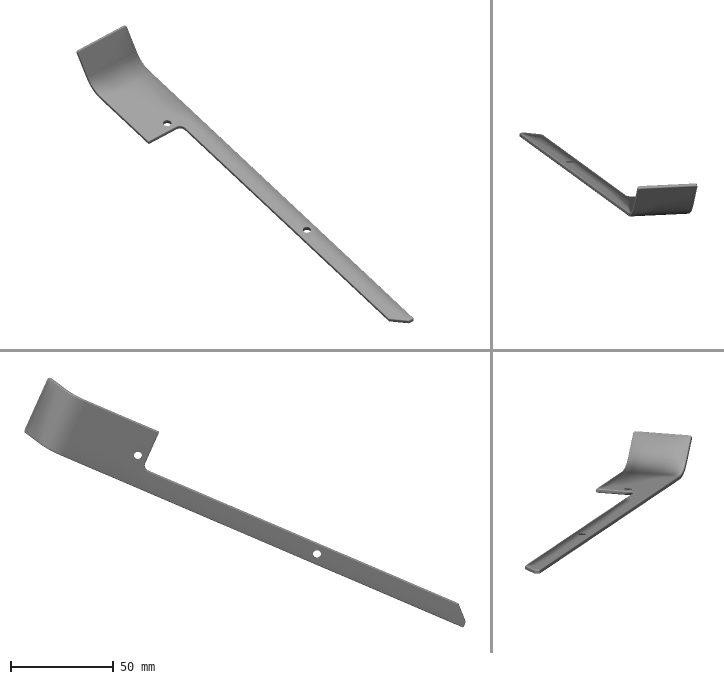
import cadquery as cq
import math

total_length = 234.69
total_width = 30.0
total_height = 18.22
thickness = 2.0

lip_angle = 53.0
bend_inner_radius = 12.0
bend_outer_radius = bend_inner_radius + thickness
lip_corner_radius = 1.0

arm_length = 175.5
arm_width = 10.0
inside_corner_radius = 3.0
tip_bevel = 7.0

hole_diameter = 4.0
hole_edge_distance = 4.8
hole_spacing = 100.0

edge_radius = 0.5

step_x = total_length - arm_length
arm_y = total_width - arm_width
pad_hole_x = step_x - hole_edge_distance
lip_sin = math.sin(math.radians(lip_angle))
lip_cos = math.cos(math.radians(lip_angle))

rounding_setback = edge_radius * (lip_sin + lip_cos - 1)
lip_rise = total_height + rounding_setback - thickness * lip_cos - bend_outer_radius * (1 - lip_cos)
lip_length = lip_rise / lip_sin
bend_x = lip_length * lip_cos + bend_outer_radius * lip_sin - rounding_setback


def bend_point(radius, angle):
    """Point on the bend, at an angle measured from its lowest point towards -X."""
    turn = math.radians(angle)
    return (bend_x - radius * math.sin(turn), bend_outer_radius - radius * math.cos(turn))


def lip_end_point(radius):
    """End of the straight lip on the surface that is tangent to the given bend radius."""
    x, z = bend_point(radius, lip_angle)
    return (x - lip_length * lip_cos, z + lip_length * lip_sin)


def bent_strip():
    """Full-width sheet with its bent lip, rounded along both sides and around the lip end."""
    strip = (
        cq.Workplane("XZ")
        .moveTo(total_length, 0)
        .lineTo(bend_x, 0)
        .threePointArc(
            bend_point(bend_outer_radius, lip_angle / 2),
            bend_point(bend_outer_radius, lip_angle),
        )
        .lineTo(*lip_end_point(bend_outer_radius))
        .lineTo(*lip_end_point(bend_inner_radius))
        .lineTo(*bend_point(bend_inner_radius, lip_angle))
        .threePointArc(
            bend_point(bend_inner_radius, lip_angle / 2),
            bend_point(bend_inner_radius, 0),
        )
        .lineTo(total_length, thickness)
        .close()
        .extrude(-total_width)
    )
    strip = strip.faces("<X").edges("not |Y").fillet(lip_corner_radius)
    return strip.faces("<X").edges("|Y").fillet(edge_radius)


def plan_blank():
    """Plan outline of the pad and arm, tall enough to contain the lip."""
    blank = (
        cq.Workplane("XY")
        .moveTo(-thickness, 0)
        .lineTo(step_x, 0)
        .lineTo(step_x, arm_y)
        .lineTo(total_length - tip_bevel, arm_y)
        .lineTo(total_length, arm_y + tip_bevel)
        .lineTo(total_length, total_width)
        .lineTo(-thickness, total_width)
        .close()
        .extrude(total_height)
    )
    inside_corner = cq.selectors.NearestToPointSelector((step_x, arm_y, total_height / 2))
    return blank.edges(inside_corner).fillet(inside_corner_radius)


def round_cut_edges(sheet):
    """Round the upper and lower edges of the step, the arm's inner side and the arm's tip."""
    cut_region = cq.selectors.BoxSelector(
        (step_x - edge_radius, edge_radius, -thickness),
        (total_length + thickness, total_width - edge_radius, 2 * thickness),
    )
    upright_edges = cq.selectors.ParallelDirSelector(cq.Vector(0, 0, 1))
    return sheet.edges(cut_region - upright_edges).fillet(edge_radius)


def holes():
    """One hole in the pad beside the step and one in the middle of the arm."""
    centers = [
        (pad_hole_x, total_width / 2),
        (pad_hole_x + hole_spacing, total_width - arm_width / 2),
    ]
    return cq.Workplane("XY").pushPoints(centers).circle(hole_diameter / 2).extrude(thickness)


sheet = bent_strip().intersect(plan_blank())
result = round_cut_edges(sheet).cut(holes())